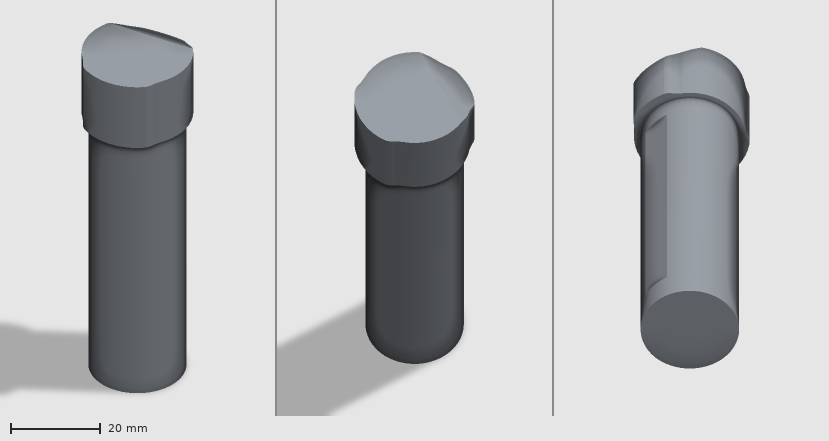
import cadquery as cq
import math

total_height = 87.0
head_height = 16.9
shank_height = total_height - head_height
shank_diameter = 22.0

head_width = 25.0
side_radius = head_width / 2
lobe_reach = 13.5

front_lobe_half_width = 7.7
front_shoulder = (9.0, -9.05)
front_shoulder_bulge = (8.4, -10.2)
front_side_x = 9.8

back_lobe_half_width = 4.8
back_lobe_corner_middle = (5.6, 12.1)
back_lobe_corner_end = (6.2, 11.4)
back_shoulder_x = 7.3

slope_start_y = 6.5
slope_angle = 30.0
cutter_margin = 0.9

flat_y = 10.4
flat_bottom_z = 6.5
flat_top_z = shank_height - 4.5


def mirrored(point):
    """Reflect an XY point in the YZ plane."""
    return (-point[0], point[1])


def height_on_circle(radius, x):
    return math.sqrt(radius**2 - x**2)


def make_head():
    front_lobe_end = (front_lobe_half_width, -height_on_circle(lobe_reach, front_lobe_half_width))
    front_side = (front_side_x, -height_on_circle(side_radius, front_side_x))
    back_lobe_end = (back_lobe_half_width, height_on_circle(lobe_reach, back_lobe_half_width))
    back_shoulder = (back_shoulder_x, height_on_circle(side_radius, back_shoulder_x))
    return (
        cq.Workplane("XY")
        .workplane(offset=shank_height)
        .moveTo(*mirrored(front_lobe_end))
        .threePointArc((0, -lobe_reach), front_lobe_end)
        .threePointArc(front_shoulder_bulge, front_shoulder)
        .lineTo(*front_side)
        .threePointArc((side_radius, 0), back_shoulder)
        .lineTo(*back_lobe_corner_end)
        .threePointArc(back_lobe_corner_middle, back_lobe_end)
        .threePointArc((0, lobe_reach), mirrored(back_lobe_end))
        .threePointArc(mirrored(back_lobe_corner_middle), mirrored(back_lobe_corner_end))
        .lineTo(*mirrored(back_shoulder))
        .threePointArc((-side_radius, 0), mirrored(front_side))
        .lineTo(*mirrored(front_shoulder))
        .threePointArc(mirrored(front_shoulder_bulge), mirrored(front_lobe_end))
        .close()
        .extrude(head_height)
    )


def make_slope_cutter():
    """Wedge above the sloping face, wider than the head."""
    cutter_end_y = lobe_reach + cutter_margin
    slope_drop = (cutter_end_y - slope_start_y) * math.tan(math.radians(slope_angle))
    return (
        cq.Workplane("YZ")
        .moveTo(slope_start_y, total_height)
        .lineTo(cutter_end_y, total_height - slope_drop)
        .lineTo(cutter_end_y, total_height)
        .close()
        .extrude(side_radius, both=True)
    )


def make_flat_cutter():
    """Block outside the flat, reaching past the shank surface."""
    return cq.Workplane("XY").box(
        shank_diameter,
        shank_diameter,
        flat_top_z - flat_bottom_z,
        centered=(True, False, False),
    ).translate((0, flat_y, flat_bottom_z))


shank = cq.Workplane("XY").circle(shank_diameter / 2).extrude(shank_height)
shank = shank.cut(make_flat_cutter())
head = make_head().cut(make_slope_cutter())
result = shank.union(head)